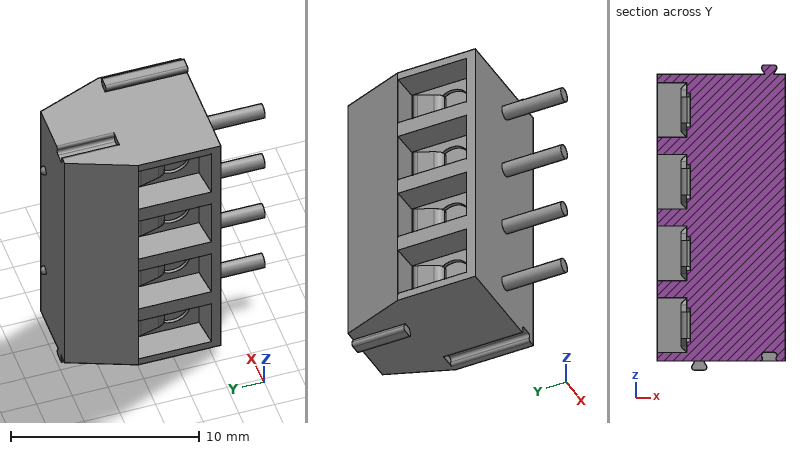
import cadquery as cq
import math


poles = 4
height = 15.25
overall_length = 12.05
overall_height = 16.24
width = 6.8
length = 8.3
shoulder = 4.63
taper_inset = 1.38
pitch = height / poles
left_side = -width / 2

pin_diameter = 0.8
pin_length = 3.5
pin_x = 0.11
pin_root = 0.81

entry_height = 2.89
entry_depth = 1.56
entry_mouth_front = 0.54
entry_mouth_back = 4.61
entry_floor_front = 0.71
entry_floor_back = 4.58
entry_floor_x = left_side + entry_depth

recess_diameter = 1.92
recess_depth = 0.2
recess_y = 2.18

guard_rise = 0.31
guard_round = 0.45
guard_front = 2.65
guard_bend_y = 3.09
guard_back = 4.53
guard_neck_y = 2.92
guard_neck_half = 0.7
guard_wide_half = 1.07
guard_flare_y = guard_back - guard_round

rail_height = (overall_height - height) / 2
rail_flat_half = 0.25
rail_round = 0.16
rail_flank_angle = math.radians(30)
front_rail_x = 2.55
front_rail_length = 4.6
back_rail_x = -1.17
back_rail_length = 3.1
groove_clearance = 0.1
groove_depth = 0.45
groove_lip_round = 0.13

bump_radius = overall_length - pin_length - length
bump_x = 1.32

pole_heights = [(i - (poles - 1) / 2) * pitch for i in range(poles)]


def extrude_along_z(outline, z_centre, size):
    return outline.extrude(size / 2, both=True).translate((0, 0, z_centre))


def make_housing():
    half = width / 2
    back_half = half - taper_inset
    outline = cq.Workplane("XY").polyline([
        (-half, 0),
        (half, 0),
        (half, shoulder),
        (back_half, length),
        (-back_half, length),
        (-half, shoulder),
    ]).close()
    return extrude_along_z(outline, 0, height)


def make_entry(z):
    """Cutter for one wire entry: a drafted pocket with a round recess in its floor."""
    pocket = cq.Workplane("XY").polyline([
        (left_side, entry_mouth_front),
        (entry_floor_x, entry_floor_front),
        (entry_floor_x, entry_floor_back),
        (left_side, entry_mouth_back),
    ]).close()
    recess = (
        cq.Workplane("YZ", origin=(left_side, recess_y, z))
        .circle(recess_diameter / 2)
        .extrude(entry_depth + recess_depth)
    )
    return extrude_along_z(pocket, z, entry_height).union(recess)


def make_guard(z):
    """Tongue with rounded ends, trimmed to a taper that flares at its back end."""
    top_x = entry_floor_x - guard_rise
    base_x = entry_floor_x + recess_depth
    round_x = top_x + guard_round
    back_diagonal = guard_round * math.sqrt(0.5)
    front_angle = math.asin((guard_bend_y - guard_front) / guard_round)
    front_end_x = round_x - guard_round * math.cos(front_angle)
    front_mid_x = round_x - guard_round * math.cos(front_angle / 2)
    front_mid_y = guard_bend_y - guard_round * math.sin(front_angle / 2)
    profile = (
        cq.Workplane("XY")
        .moveTo(base_x, guard_front)
        .lineTo(front_end_x, guard_front)
        .threePointArc((front_mid_x, front_mid_y), (top_x, guard_bend_y))
        .lineTo(top_x, guard_flare_y)
        .threePointArc((round_x - back_diagonal, guard_flare_y + back_diagonal), (round_x, guard_back))
        .lineTo(base_x, guard_back)
        .close()
    )
    taper = (
        cq.Workplane("YZ", origin=(left_side, 0, z))
        .moveTo(guard_front, 0)
        .lineTo(guard_front, guard_neck_half)
        .lineTo(guard_neck_y, guard_neck_half)
        .lineTo(guard_flare_y, guard_wide_half)
        .tangentArcPoint((guard_back, entry_height / 2), relative=False)
        .lineTo(guard_back, 0)
        .mirrorX()
        .extrude(entry_depth + recess_depth)
    )
    return extrude_along_z(profile, z, entry_height).intersect(taper)


def make_pin(z):
    return (
        cq.Workplane("XZ", origin=(pin_x, pin_root, z))
        .circle(pin_diameter / 2)
        .extrude(pin_root + pin_length)
    )


def make_rail(x, z, y_start, rail_length):
    """Dovetail rail standing on the +Z side of z, with rounded outer corners."""
    centre_z = rail_height - rail_round
    side_x = rail_flat_half + rail_round * math.cos(rail_flank_angle)
    side_z = centre_z - rail_round * math.sin(rail_flank_angle)
    neck_x = side_x - side_z * math.tan(rail_flank_angle)
    wide_x = rail_flat_half + rail_round
    return (
        cq.Workplane("XZ", origin=(x, y_start + rail_length, z))
        .moveTo(0, 0)
        .lineTo(neck_x, 0)
        .lineTo(side_x, side_z)
        .threePointArc((wide_x, centre_z), (rail_flat_half, rail_height))
        .lineTo(0, rail_height)
        .mirrorY()
        .extrude(rail_length)
    )


def make_groove(x, z, y_start, groove_length):
    """Groove cutter on the +Z side of z: round lips at z flow into round floor corners."""
    corner_z = groove_depth - rail_round
    rounds = rail_round + groove_lip_round
    lip_offset = math.sqrt(rounds ** 2 - (corner_z - groove_lip_round) ** 2)
    lip_x = rail_flat_half + lip_offset
    meet_x = rail_flat_half + lip_offset * rail_round / rounds
    meet_z = corner_z - (corner_z - groove_lip_round) * rail_round / rounds
    waist_x = lip_x - groove_lip_round
    wide_x = rail_flat_half + rail_round
    return (
        cq.Workplane("XZ", origin=(x, y_start + groove_length, z))
        .moveTo(0, 0)
        .lineTo(lip_x, 0)
        .threePointArc((waist_x, groove_lip_round), (meet_x, meet_z))
        .threePointArc((wide_x, corner_z), (rail_flat_half, groove_depth))
        .lineTo(0, groove_depth)
        .mirrorY()
        .extrude(groove_length)
    )


def make_bump(z):
    """Ball half buried in the back face."""
    return cq.Workplane("XY").sphere(bump_radius).translate((bump_x, length, z))


result = make_housing()

for pole_z in pole_heights:
    result = result.cut(make_entry(pole_z))
    result = result.union(make_guard(pole_z))
    result = result.union(make_pin(pole_z))

top = height / 2
bottom = -top
back_rail_start = length - back_rail_length
front_groove_length = front_rail_length + groove_clearance
back_groove_length = back_rail_length + groove_clearance
back_groove_start = length - back_groove_length

result = result.union(make_rail(front_rail_x, top, 0, front_rail_length))
result = result.union(make_rail(back_rail_x, top, back_rail_start, back_rail_length).mirror("XY"))
result = result.cut(make_groove(front_rail_x, bottom, 0, front_groove_length))
result = result.cut(make_groove(back_rail_x, bottom, back_groove_start, back_groove_length).mirror("XY"))

for bump_z in (-pitch, pitch):
    result = result.union(make_bump(bump_z))